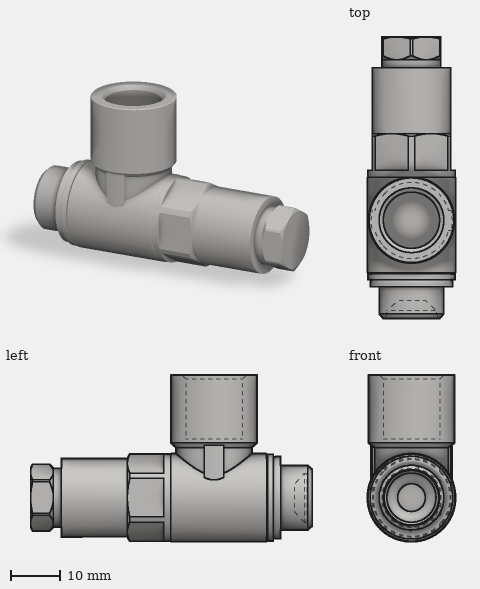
import cadquery as cq
import math

TOTAL_LENGTH = 57.25
BODY_DIAMETER = 18.0
BODY_START = 9.32
BODY_END = 28.75
BODY_EDGE_FILLET = 0.25

TIP_DIAMETER = 13.16
TIP_RIM_DIAMETER = 11.45
TIP_CHAMFER_LENGTH = 0.95

FLANGE_DIAMETER = 16.8
FLANGE_START = 6.45
FLANGE_FILLET = 0.6
RING_DIAMETER = 17.7
RING_START = 7.95
RING_END = 9.08
GROOVE_DIAMETER = 16.0

SEAT_MOUTH_DIAMETER = 11.1
SEAT_DIAMETER = 10.0
SEAT_START = 1.1
SEAT_CONE_START = 1.7
SEAT_FLOOR_DIAMETER = 5.64
SEAT_DEPTH = 3.7

COLLAR_DIAMETER = 17.8
COLLAR_END = 30.2
LARGE_HEX_WIDTH = 16.0
LARGE_HEX_CORNER_DIAMETER = COLLAR_DIAMETER
LARGE_HEX_END = 37.6
LARGE_HEX_CHAMFER = 0.5
SLEEVE_DIAMETER = 16.0
SLEEVE_END = 51.0
NECK_DIAMETER = 12.0
NECK_END = 52.6
SMALL_HEX_WIDTH = 12.0
SMALL_HEX_CORNER_DIAMETER = 13.6
SMALL_HEX_INNER_CHAMFER = 0.8
SMALL_HEX_OUTER_CHAMFER = 0.4
SMALL_HEX_FACE_DIAMETER = 12.0

PORT_POSITION = 20.0
PORT_TOP = 25.0
PORT_DIAMETER = 17.5
PORT_BOTTOM = 11.15
PORT_TOP_CHAMFER = 0.15
PORT_STEM_DIAMETER = 15.5
PORT_BORE_DIAMETER = 11.45
PORT_BORE_MOUTH_DIAMETER = 13.16
PORT_BORE_FLOOR = 12.0

RIB_WIDTH = 4.0
RIB_DIAMETER = 16.5


def turned(profile):
    """Revolve (radius, position) points about the barrel axis."""
    outline = [(0, profile[0][1])] + profile + [(0, profile[-1][1])]
    return cq.Workplane("XY").polyline(outline).close().revolve(360, (0, 0, 0), (0, 1, 0))


def turned_about_port(profile):
    """Revolve (radius, height) points about the vertical port axis."""
    outline = [(0, profile[0][1])] + profile + [(0, profile[-1][1])]
    half_section = cq.Workplane("XZ", origin=(0, PORT_POSITION, 0)).polyline(outline).close()
    return half_section.revolve(360, (0, 0, 0), (0, 1, 0))


def cylinder_y(diameter, start, end):
    return turned([(diameter / 2, start), (diameter / 2, end)])


def hex_prism(width, start, end):
    """Hexagonal bar along Y with two flats facing +X and -X."""
    corner_diameter = width / math.cos(math.radians(30))
    return (
        cq.Workplane("XZ", origin=(0, start, 0))
        .transformed(rotate=(0, 0, 30))
        .polygon(6, corner_diameter)
        .extrude(-(end - start))
    )


def make_front():
    """Threaded tip, flange and sealing ring ahead of the body."""
    tip = turned([
        (TIP_RIM_DIAMETER / 2, 0),
        (TIP_DIAMETER / 2, TIP_CHAMFER_LENGTH),
        (TIP_DIAMETER / 2, FLANGE_START),
    ])
    flange = cylinder_y(FLANGE_DIAMETER, FLANGE_START, RING_START).edges(">Y").fillet(FLANGE_FILLET)
    ring = cylinder_y(RING_DIAMETER, RING_START, RING_END)
    groove_floor = cylinder_y(GROOVE_DIAMETER, RING_END, BODY_START)
    return tip.union(flange).union(ring).union(groove_floor)


def make_body():
    return cylinder_y(BODY_DIAMETER, BODY_START, BODY_END).edges("%CIRCLE").fillet(BODY_EDGE_FILLET)


def make_large_hex():
    """Hexagon with rounded corners, bevelled down to the sleeve diameter at its rear end."""
    corner_radius = LARGE_HEX_CORNER_DIAMETER / 2
    limit = turned([
        (corner_radius, COLLAR_END),
        (corner_radius, LARGE_HEX_END - LARGE_HEX_CHAMFER),
        (SLEEVE_DIAMETER / 2, LARGE_HEX_END),
    ])
    return hex_prism(LARGE_HEX_WIDTH, COLLAR_END, LARGE_HEX_END).intersect(limit)


def make_small_hex():
    """End hexagon with rounded corners, bevelled at both ends."""
    corner_radius = SMALL_HEX_CORNER_DIAMETER / 2
    limit = turned([
        (SMALL_HEX_FACE_DIAMETER / 2, NECK_END),
        (corner_radius, NECK_END + SMALL_HEX_INNER_CHAMFER),
        (corner_radius, TOTAL_LENGTH - SMALL_HEX_OUTER_CHAMFER),
        (SMALL_HEX_FACE_DIAMETER / 2, TOTAL_LENGTH),
    ])
    return hex_prism(SMALL_HEX_WIDTH, NECK_END, TOTAL_LENGTH).intersect(limit)


def make_rear():
    """Collar, hexagons, sleeve and neck behind the body."""
    return (
        cylinder_y(COLLAR_DIAMETER, BODY_END, COLLAR_END)
        .union(make_large_hex())
        .union(cylinder_y(SLEEVE_DIAMETER, LARGE_HEX_END, SLEEVE_END))
        .union(cylinder_y(NECK_DIAMETER, SLEEVE_END, NECK_END))
        .union(make_small_hex())
    )


def make_port():
    """Port cup on its narrower stem, reaching down to the barrel axis."""
    port_radius = PORT_DIAMETER / 2
    stem_radius = PORT_STEM_DIAMETER / 2
    return turned_about_port([
        (stem_radius, 0),
        (stem_radius, PORT_BOTTOM - (port_radius - stem_radius)),
        (port_radius, PORT_BOTTOM),
        (port_radius, PORT_TOP - PORT_TOP_CHAMFER),
        (port_radius - PORT_TOP_CHAMFER, PORT_TOP),
    ])


def make_ribs():
    """One bar across the stem whose ends, rounded about the port axis, form the side ribs."""
    bar = cq.Workplane("XY").rect(RIB_DIAMETER, RIB_WIDTH).extrude(PORT_BOTTOM)
    rounding = cq.Workplane("XY").circle(RIB_DIAMETER / 2).extrude(PORT_BOTTOM)
    return bar.intersect(rounding).translate((0, PORT_POSITION, 0))


def make_port_bore():
    """Blind bore from the port top with a 45 degree countersunk mouth."""
    bore_radius = PORT_BORE_DIAMETER / 2
    mouth_radius = PORT_BORE_MOUTH_DIAMETER / 2
    return turned_about_port([
        (bore_radius, PORT_BORE_FLOOR),
        (bore_radius, PORT_TOP - (mouth_radius - bore_radius)),
        (mouth_radius, PORT_TOP),
    ])


def make_tip_seat():
    """Recess in the tip: flared mouth, short straight wall, cone and flat floor."""
    return turned([
        (SEAT_MOUTH_DIAMETER / 2, 0),
        (SEAT_DIAMETER / 2, SEAT_START),
        (SEAT_DIAMETER / 2, SEAT_CONE_START),
        (SEAT_FLOOR_DIAMETER / 2, SEAT_DEPTH),
    ])


result = (
    make_front()
    .union(make_body())
    .union(make_rear())
    .union(make_port())
    .union(make_ribs())
    .cut(make_port_bore())
    .cut(make_tip_seat())
)